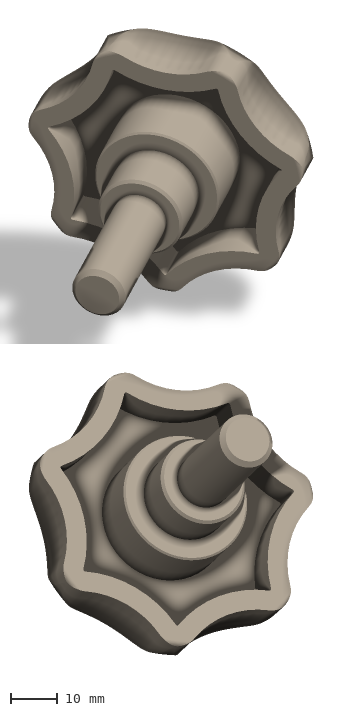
import cadquery as cq
import math

lobe_count = 7
head_radius = 31.55
valley_radius = 26.1
scallop_radius = 20.5
wall_thickness = 4.5
cavity_depth = 9.1

total_length = 67.0
head_height = 19.0
dome_edge_radius = 23.3
dome_edge_height = 15.35
skirt_base_radius = 31.6
skirt_top_radius = 31.4
skirt_height = 6.0
rim_rounding = 1.0

boss_diameter = 28.0
boss_length = 5.9
boss_chamfer = 0.4
collar_diameter = 19.0
collar_end = 17.95
collar_chamfer = 0.6
shaft_diameter = 12.0
shaft_chamfer = 1.1

half_pitch = math.pi / lobe_count
scallop_center_radius = valley_radius + scallop_radius


def polar(radius, angle):
    return (radius * math.cos(angle), radius * math.sin(angle))


def tip_radius_for(tip_reach):
    """Radius of the tip arc ending at tip_reach and tangent to the scallops on both sides."""
    along = scallop_center_radius * math.cos(half_pitch)
    across = scallop_center_radius * math.sin(half_pitch)
    gap = along - tip_reach
    return (gap**2 + across**2 - scallop_radius**2) / (2 * (scallop_radius - gap))


lobe_tip_radius = tip_radius_for(head_radius)


def star_prism(inset, depth):
    """Prism from the rim face towards +Y, its star outline moved inwards by inset."""
    concave_radius = scallop_radius + inset
    convex_radius = lobe_tip_radius - inset
    tip_center_radius = head_radius - lobe_tip_radius
    valley = scallop_center_radius - concave_radius
    tip = tip_center_radius + convex_radius
    share = concave_radius / (concave_radius + convex_radius)
    scallop_x, scallop_y = polar(scallop_center_radius, half_pitch)
    joint_x = scallop_x + share * (tip_center_radius - scallop_x)
    joint_y = scallop_y * (1 - share)
    joint_radius = math.hypot(joint_x, joint_y)
    joint_angle = math.atan2(joint_y, joint_x)

    outline = cq.Workplane("XZ").moveTo(*polar(joint_radius, -math.pi / 2 - joint_angle))
    for lobe in range(lobe_count):
        axis = -math.pi / 2 + lobe * 2 * half_pitch
        next_axis = axis + 2 * half_pitch
        outline = outline.threePointArc(polar(tip, axis), polar(joint_radius, axis + joint_angle))
        outline = outline.threePointArc(
            polar(valley, axis + half_pitch), polar(joint_radius, next_axis - joint_angle)
        )
    return outline.close().extrude(-depth)


def domed_blank():
    """Turned head: shallow dome, rounded shoulder and a slightly flared skirt down to the rim."""
    flare = math.atan2(skirt_base_radius - skirt_top_radius, skirt_height)
    rim_radius = skirt_base_radius - rim_rounding
    rim_end_radius = skirt_base_radius - rim_rounding * math.tan(flare)
    dome_height = head_height - dome_edge_height
    dome_radius = (dome_edge_radius**2 + dome_height**2) / (2 * dome_height)
    return (
        cq.Workplane("XY")
        .lineTo(rim_radius, 0)
        .tangentArcPoint((rim_end_radius, rim_rounding), relative=False)
        .lineTo(skirt_top_radius, skirt_height)
        .tangentArcPoint((dome_edge_radius, dome_edge_height), relative=False)
        .radiusArc((0, head_height), -dome_radius)
        .close()
        .revolve(360, (0, 0, 0), (0, 1, 0))
    )


def turned_step(diameter, start, end, chamfer):
    """Cylinder along Y between two heights, chamfered at its lower end."""
    return (
        cq.Workplane("XZ", origin=(0, start, 0))
        .circle(diameter / 2)
        .extrude(start - end)
        .faces("<Y")
        .chamfer(chamfer)
    )


head = domed_blank().intersect(star_prism(0, head_height))
head = head.cut(star_prism(wall_thickness, cavity_depth))

boss = turned_step(boss_diameter, cavity_depth, -boss_length, boss_chamfer)
collar = turned_step(collar_diameter, -boss_length, -collar_end, collar_chamfer)
shaft = turned_step(shaft_diameter, -collar_end, head_height - total_length, shaft_chamfer)

result = head.union(boss).union(collar).union(shaft)